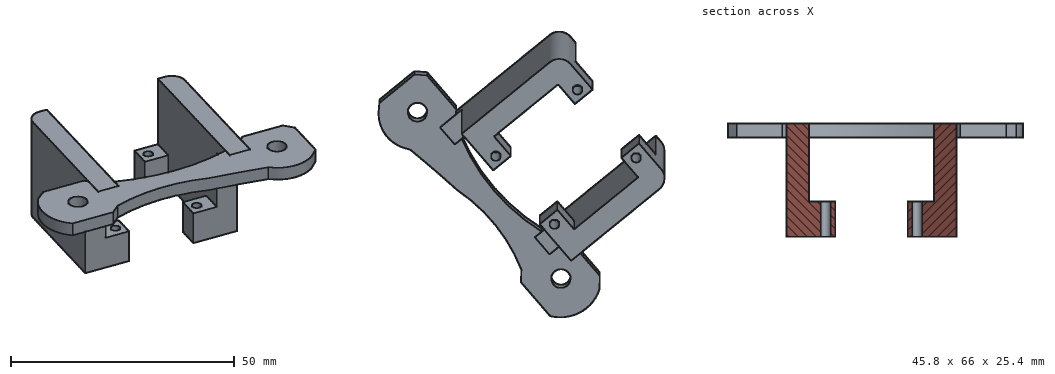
import cadquery as cq

total_height = 25.4
plate_thickness = 3.18

wall_inner_y = 13.95
wall_thickness = 5.13
wall_length = 29.0
tongue_end_x = 35.3
wall_corner_radius = 3.3

foot_width = 5.17
foot_reach = 5.87
foot_height = 7.95
foot_starts = [0, wall_length - foot_width]
foot_hole_diameter = 2.15
foot_hole_y = 10.22
foot_hole_offset_x = 2.62

plate_hole_diameter = 4.3
plate_hole_spacing = 50.0
plate_hole_x = 36.94
lobe_y = plate_hole_spacing / 2
lobe_flat = 7.1
corner_start = 5.1
side_bulge = 8.84
end_bulge = 8.91
bottom_arc_start = 7.4
lower_side = 7.4

inner_crest_x = 35.4
waist_bend = (41.65, 5.6)
waist_straight_mid = (42.6, 12.5)
waist_hollow_mid = (40.28, -3.2)
waist_upper_end = (43.7, 19.3)
waist_lower_end = (42.44, -17.8)


def make_wall(side):
    """One wall with its tongue and feet; side is +1 or -1 along Y."""
    wall_center_y = wall_inner_y + wall_thickness / 2
    wall = cq.Workplane("XY").box(wall_length, wall_thickness, total_height, centered=(False, True, False))
    wall = wall.translate((0, wall_center_y, 0))
    wall = wall.edges("|Z and <X and >Y").fillet(wall_corner_radius)

    tongue = cq.Workplane("XY").box(
        tongue_end_x - wall_length, wall_thickness, plate_thickness, centered=(False, True, False)
    )
    tongue_base = total_height - plate_thickness
    wall = wall.union(tongue.translate((wall_length, wall_center_y, tongue_base)))

    for start in foot_starts:
        foot = cq.Workplane("XY").box(foot_width, foot_reach, foot_height, centered=False)
        wall = wall.union(foot.translate((start, wall_inner_y - foot_reach, 0)))
        hole = cq.Workplane("XY").circle(foot_hole_diameter / 2).extrude(foot_height)
        wall = wall.cut(hole.translate((start + foot_hole_offset_x, foot_hole_y, 0)))

    if side < 0:
        wall = wall.mirror("XZ")
    return wall


def make_plate(walls):
    """Waisted plate with two lobes, recessed to receive the wall tongues."""
    left = plate_hole_x - lobe_flat
    left_corner = plate_hole_x - corner_start
    right_corner = plate_hole_x + corner_start
    right = plate_hole_x + lobe_flat
    lower_right = plate_hole_x + lower_side
    waist_y = lobe_y - lobe_flat

    plate = (
        cq.Workplane("XY", origin=(0, 0, total_height - plate_thickness))
        .moveTo(left, lobe_y - corner_start)
        .lineTo(left, lobe_y + corner_start)
        .lineTo(left_corner, lobe_y + lobe_flat)
        .lineTo(right_corner, lobe_y + lobe_flat)
        .lineTo(right, lobe_y + corner_start)
        .threePointArc((plate_hole_x + side_bulge, lobe_y), (right, lobe_y - corner_start))
        .lineTo(*waist_upper_end)
        .threePointArc(waist_straight_mid, waist_bend)
        .threePointArc(waist_hollow_mid, waist_lower_end)
        .lineTo(lower_right, corner_start - lobe_y)
        .lineTo(lower_right, -lobe_y - corner_start)
        .threePointArc((plate_hole_x, -lobe_y - end_bulge), (left_corner, -lobe_y - bottom_arc_start))
        .lineTo(left, -lobe_y - corner_start)
        .lineTo(left, corner_start - lobe_y)
        .lineTo(left_corner, -waist_y)
        .threePointArc((inner_crest_x, 0), (left_corner, waist_y))
        .close()
        .extrude(plate_thickness)
    )
    plate = (
        plate.faces(">Z")
        .workplane(origin=(0, 0, total_height))
        .pushPoints([(plate_hole_x, lobe_y), (plate_hole_x, -lobe_y)])
        .hole(plate_hole_diameter)
    )
    for wall in walls:
        plate = plate.cut(wall)
    return plate


walls = [make_wall(side) for side in (1, -1)]
plate = make_plate(walls)

result = cq.Compound.makeCompound([plate.solids().val(), *[wall.solids().val() for wall in walls]])